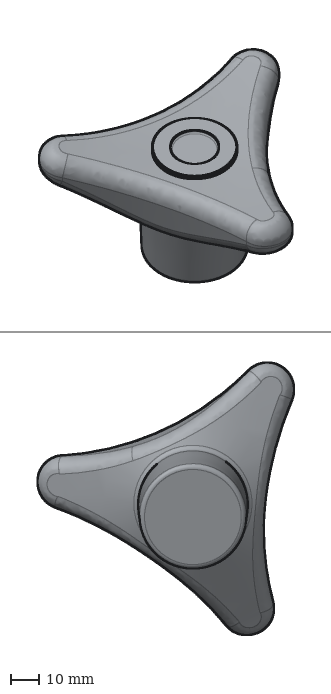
import cadquery as cq
import math

ARM_COUNT = 3
ARM_PITCH = 360 / ARM_COUNT
HALF_PITCH = ARM_PITCH / 2
FIRST_SIDE_ANGLE = 90 - HALF_PITCH
WIDTH = 97.8
TIP_RADIUS = 9.5
ARM_REACH = (WIDTH / 2 - TIP_RADIUS) / math.sin(math.radians(HALF_PITCH))
SIDE_DISTANCE = 25.5
TOP_EDGE_ROUND = 6.0
LOWER_EDGE_ROUND = 5.9

DISH_DEPTH_Z = 47.4
DISH_RADIUS = 244.5
UNDERSIDE_RADIUS = 20.8
UNDERSIDE_Z = 26.0
UNDERSIDE_ANGLE = 24.6
BLANK_RADIUS = 68.5
BLANK_HEIGHT = 78.2
CLEARANCE = 0.1

HUB_BOTTOM_RADIUS = 18.8
HUB_TOP_RADIUS = 19.4
HUB_TOP_Z = 23.3
HUB_EDGE_ROUND = 1.8

CAP_DIAMETER = 30.2
CAP_FACE_DIAMETER = 29.4
CAP_TOP_Z = 49.2
CAP_BASE_Z = 44.0
RECESS_MOUTH_DIAMETER = 17.3
RECESS_DIAMETER = 16.9
RECESS_DEPTH = 1.2
RECESS_FLOOR_ROUND = 0.6


def polar(radius, angle):
    return (radius * math.cos(math.radians(angle)), radius * math.sin(math.radians(angle)))


def side_tangent_point():
    """Radius, and angle from the middle of a side, where side and tip arcs meet."""
    tip_along, tip_across = polar(ARM_REACH, HALF_PITCH)
    offset = SIDE_DISTANCE - tip_along
    side_radius = (tip_across**2 + offset**2 - TIP_RADIUS**2) / (2 * (TIP_RADIUS - offset))
    share = TIP_RADIUS / (TIP_RADIUS + side_radius)
    along = tip_along + share * (SIDE_DISTANCE + side_radius - tip_along)
    across = tip_across * (1 - share)
    return math.hypot(along, across), math.degrees(math.atan2(across, along))


def star_prism():
    """Rounded arm tips joined by concave arcs tangent to them."""
    tangent_radius, tangent_angle = side_tangent_point()
    outline = cq.Workplane("XY").moveTo(*polar(tangent_radius, FIRST_SIDE_ANGLE - tangent_angle))
    for arm in range(ARM_COUNT):
        side = FIRST_SIDE_ANGLE + arm * ARM_PITCH
        outline = outline.threePointArc(
            polar(SIDE_DISTANCE, side), polar(tangent_radius, side + tangent_angle)
        )
        outline = outline.threePointArc(
            polar(ARM_REACH + TIP_RADIUS, side + HALF_PITCH),
            polar(tangent_radius, side + ARM_PITCH - tangent_angle),
        )
    return outline.close().extrude(BLANK_HEIGHT)


def head():
    """Star between a spherical dish and a conical underside, with rounded edges."""
    dish_rise = DISH_RADIUS - math.sqrt(DISH_RADIUS**2 - BLANK_RADIUS**2)
    cone_rise = (BLANK_RADIUS - UNDERSIDE_RADIUS) * math.tan(math.radians(UNDERSIDE_ANGLE))
    mid_radius = BLANK_RADIUS / 2
    mid_rise = DISH_RADIUS - math.sqrt(DISH_RADIUS**2 - mid_radius**2)
    envelope = (
        cq.Workplane("XZ")
        .moveTo(0, UNDERSIDE_Z)
        .lineTo(UNDERSIDE_RADIUS, UNDERSIDE_Z)
        .lineTo(BLANK_RADIUS, UNDERSIDE_Z + cone_rise)
        .lineTo(BLANK_RADIUS, DISH_DEPTH_Z + dish_rise)
        .threePointArc((mid_radius, DISH_DEPTH_Z + mid_rise), (0, DISH_DEPTH_Z))
        .close()
        .revolve(360, (0, 0), (0, 1))
    )
    body = star_prism().intersect(envelope)
    body = body.faces("%SPHERE").edges().fillet(TOP_EDGE_ROUND)
    lower_edges = body.faces("%CONE").edges().filter(
        lambda edge: edge.Center().z > UNDERSIDE_Z + CLEARANCE
    )
    return lower_edges.fillet(LOWER_EDGE_ROUND)


def hub():
    """Slightly tapered hub whose top flares into the underside of the head."""
    bend_share = math.sqrt(0.5)
    flare_width = UNDERSIDE_RADIUS - HUB_TOP_RADIUS
    flare_height = UNDERSIDE_Z - HUB_TOP_Z
    flare_mid = (
        UNDERSIDE_RADIUS - flare_width * bend_share,
        HUB_TOP_Z + flare_height * bend_share,
    )
    return (
        cq.Workplane("XZ")
        .lineTo(HUB_BOTTOM_RADIUS, 0)
        .lineTo(HUB_TOP_RADIUS, HUB_TOP_Z)
        .threePointArc(flare_mid, (UNDERSIDE_RADIUS, UNDERSIDE_Z))
        .lineTo(0, UNDERSIDE_Z)
        .close()
        .revolve(360, (0, 0), (0, 1))
        .faces("<Z")
        .edges()
        .fillet(HUB_EDGE_ROUND)
    )


def cap():
    """Disc with a chamfered rim, standing just above the dish."""
    chamfer = (CAP_DIAMETER - CAP_FACE_DIAMETER) / 2
    return (
        cq.Workplane("XY", origin=(0, 0, CAP_BASE_Z))
        .circle(CAP_DIAMETER / 2)
        .extrude(CAP_TOP_Z - CAP_BASE_Z)
        .faces(">Z")
        .edges()
        .chamfer(chamfer)
    )


def cap_recess():
    """Shallow round recess with a chamfered mouth and a rounded floor edge."""
    chamfer = (RECESS_MOUTH_DIAMETER - RECESS_DIAMETER) / 2
    wall_radius = RECESS_DIAMETER / 2
    floor_z = CAP_TOP_Z - RECESS_DEPTH
    return (
        cq.Workplane("XZ", origin=(0, 0, floor_z))
        .lineTo(wall_radius - RECESS_FLOOR_ROUND, 0)
        .radiusArc((wall_radius, RECESS_FLOOR_ROUND), -RECESS_FLOOR_ROUND)
        .lineTo(wall_radius, RECESS_DEPTH - chamfer)
        .lineTo(wall_radius + chamfer, RECESS_DEPTH)
        .lineTo(0, RECESS_DEPTH)
        .close()
        .revolve(360, (0, 0), (0, 1))
    )


result = head().union(hub()).union(cap()).cut(cap_recess())